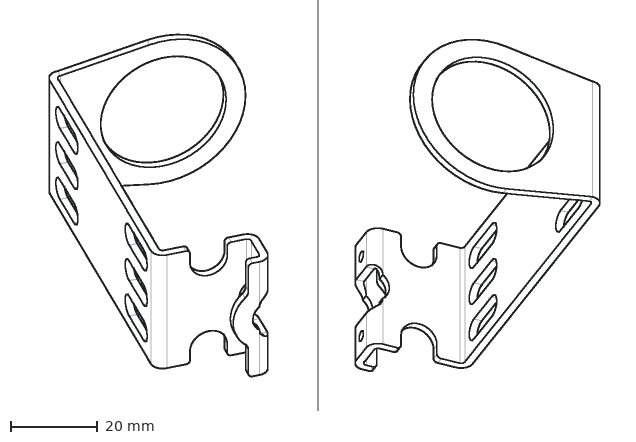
import math

import cadquery as cq

thickness = 2.0
inner_bend = 0.9
outer_bend = inner_bend + thickness
strip_height = 32.0
half_height = strip_height / 2

total_length = 86.7
hook_width = 11.5
hook_depth = 25.1
leg_x = total_length - hook_width
leg_inner_x = leg_x + thickness
lip_x = total_length - thickness
hook_mid_x = leg_x + hook_width / 2

ring_y = 28.0
ring_radius = 20.0
ring_bore_diameter = 30.5

slot_length = 15.5
slot_width = 5.5
slot_columns_x = (15.0, 64.0)
slot_pitch_z = 10.0
slot_rows = 3

screw_hole_diameter = 2.5
screw_countersink = 0.25
screw_hole_z = 11.0
window_half_height = 6.4
corner_sections = 7
lobe_y = 24.65
lobe_radius = 4.05
tongue_radius = 8.85
tongue_fillet = 2.4
lip_edge_y = 19.5
edge_round = 1.0
notch_y = 13.1
notch_z = 12.4
notch_radius = 4.5

bend_y = hook_depth - outer_bend
left_bend_x = leg_x + outer_bend
right_bend_x = total_length - outer_bend

lobe_mouth = math.sqrt(lobe_radius**2 - (lobe_y - bend_y) ** 2)
window_corner = window_half_height - lobe_mouth


def extrude_z(outline, height):
    return outline.extrude(height / 2, both=True)


def yz_plane(x):
    """Sketch plane with local axes Y and Z, extruding towards +X."""
    return cq.Workplane("YZ", origin=(x, 0, 0))


def make_base():
    """Base plate with the two bends that lead into the ring arm and the hook leg."""
    outside = cq.Workplane("XY").rect(leg_inner_x, hook_depth / 2, centered=False)
    outside = extrude_z(outside, strip_height).edges("|Z and <Y").fillet(outer_bend)
    inside = (
        cq.Workplane("XY", origin=(thickness, thickness, 0))
        .rect(leg_x - thickness, hook_depth, centered=False)
    )
    inside = extrude_z(inside, strip_height).edges("|Z and <Y").fillet(inner_bend)
    arm_space = (
        cq.Workplane("XY", origin=(0, outer_bend, 0))
        .box(thickness, hook_depth, strip_height, centered=(False, False, True))
    )
    return outside.cut(inside).cut(arm_space)


def make_ring_arm():
    """Flat arm whose edges run tangent from the strip into the round end."""
    run = ring_y - outer_bend
    corner_angle = math.atan2(half_height, -run)
    tangent_angle = corner_angle - math.acos(ring_radius / math.hypot(run, half_height))
    tangent_y = ring_y + ring_radius * math.cos(tangent_angle)
    tangent_z = ring_radius * math.sin(tangent_angle)
    arm = (
        yz_plane(0)
        .moveTo(outer_bend, -half_height)
        .lineTo(tangent_y, -tangent_z)
        .threePointArc((ring_y + ring_radius, 0), (tangent_y, tangent_z))
        .lineTo(outer_bend, half_height)
        .close()
        .extrude(thickness)
    )
    bore = yz_plane(0).center(ring_y, 0).circle(ring_bore_diameter / 2).extrude(thickness)
    return arm.cut(bore)


def make_hook():
    """U-shaped hook: leg, web and a full-height lip as long as its tongue."""
    lip_tip_y = lobe_y - tongue_radius
    leg_start_y = hook_depth / 2
    outside = (
        cq.Workplane("XY", origin=(leg_x, leg_start_y, 0))
        .rect(hook_width, hook_depth - leg_start_y, centered=False)
    )
    outside = extrude_z(outside, strip_height).edges("|Z and >Y").fillet(outer_bend)
    inside = (
        cq.Workplane("XY", origin=(leg_inner_x, 0, 0))
        .rect(lip_x - leg_inner_x, hook_depth - thickness, centered=False)
    )
    inside = extrude_z(inside, strip_height).edges("|Z and >Y").fillet(inner_bend)
    below_lip = (
        cq.Workplane("XY", origin=(lip_x, 0, 0))
        .box(thickness, lip_tip_y, strip_height, centered=(False, False, True))
    )
    return outside.cut(inside).cut(below_lip)


def slot_cutter():
    """Two columns of slots through the base plate."""
    rows = [(row - (slot_rows - 1) / 2) * slot_pitch_z for row in range(slot_rows)]
    points = [(x, z) for x in slot_columns_x for z in rows]
    return cq.Workplane("XZ").pushPoints(points).slot2D(slot_length, slot_width).extrude(-thickness)


def screw_hole_cutter():
    """Two holes through the web, chamfered on the face inside the hook."""
    radius = screw_hole_diameter / 2
    profile = (
        cq.Workplane("XY")
        .moveTo(0, 0)
        .lineTo(radius + screw_countersink, 0)
        .lineTo(radius, screw_countersink)
        .lineTo(radius, thickness)
        .lineTo(0, thickness)
        .close()
    )
    hole = profile.revolve(360, (0, 0, 0), (0, 1, 0)).translate((hook_mid_x, hook_depth - thickness, 0))
    upper = hole.translate((0, 0, screw_hole_z))
    return upper.union(upper.mirror("XY"))


def bend_window_cutter():
    """Window inside the left bend: it narrows along a rounded corner as the strip turns."""
    margin = inner_bend / 2
    wires = []
    for section in range(corner_sections):
        corner = math.radians(90 * section / (corner_sections - 1))
        turn = math.pi / 2 * math.sin(corner)
        half = window_half_height - window_corner * (1 - math.cos(corner))
        radial = cq.Vector(-math.sin(turn), math.cos(turn), 0)
        axis = cq.Vector(left_bend_x, bend_y, 0)
        near = axis + radial * (inner_bend - margin)
        far = axis + radial * (outer_bend + margin)
        up = cq.Vector(0, 0, half)
        wires.append(cq.Wire.makePolygon([near - up, far - up, far + up, near + up], close=True))
    return cq.Workplane(obj=cq.Solid.makeLoft(wires))


def web_window_cutter():
    """Rectangular part of the window, through the flat of the web."""
    window = cq.Workplane("XY").box(
        right_bend_x - left_bend_x, thickness, 2 * window_half_height, centered=(True, False, True)
    )
    return window.translate((hook_mid_x, hook_depth - thickness, 0))


def lobe_cutter():
    """Round ends of the window in the flats of the leg and the lip, up to where the bends start."""
    below_bend = (
        cq.Workplane("XY", origin=(leg_x, 0, 0))
        .box(hook_width, bend_y, strip_height, centered=(False, False, True))
    )
    lobe = yz_plane(leg_x).center(lobe_y, 0).circle(lobe_radius).extrude(hook_width)
    return lobe.intersect(below_bend)


def lip_corner_cutter():
    """Material removed above the tongue of the lip, with a rounded corner at the strip edge."""
    fillet_y = lip_edge_y - tongue_fillet
    center_distance = tongue_radius + tongue_fillet
    fillet_z = math.sqrt(center_distance**2 - (lobe_y - fillet_y) ** 2)
    share = tongue_radius / center_distance
    tangent = (lobe_y + (fillet_y - lobe_y) * share, fillet_z * share)
    fillet_mid_angle = math.atan2(tangent[1] - fillet_z, tangent[0] - fillet_y) / 2
    fillet_mid = (
        fillet_y + tongue_fillet * math.cos(fillet_mid_angle),
        fillet_z + tongue_fillet * math.sin(fillet_mid_angle),
    )
    tip_y = lobe_y - tongue_radius
    tongue_mid_angle = math.asin(tangent[1] / tongue_radius) / 2
    tongue_mid = (
        lobe_y - tongue_radius * math.cos(tongue_mid_angle),
        tongue_radius * math.sin(tongue_mid_angle),
    )
    outline = (
        yz_plane(lip_x)
        .moveTo(tip_y, 0)
        .threePointArc(tongue_mid, tangent)
        .threePointArc(fillet_mid, (lip_edge_y, fillet_z))
        .lineTo(lip_edge_y, half_height - edge_round)
        .radiusArc((lip_edge_y + edge_round, half_height), edge_round)
        .lineTo(tip_y, half_height)
        .close()
    )
    return outline.extrude(thickness)


def leg_notch_cutter():
    """U-shaped notch in the edge of the hook leg, with rounded corners at the strip edge."""
    left = notch_y - notch_radius
    right = notch_y + notch_radius
    outline = (
        yz_plane(leg_x)
        .moveTo(left - edge_round, half_height)
        .radiusArc((left, half_height - edge_round), edge_round)
        .lineTo(left, notch_z)
        .threePointArc((notch_y, notch_z - notch_radius), (right, notch_z))
        .lineTo(right, half_height - edge_round)
        .radiusArc((right + edge_round, half_height), edge_round)
        .close()
    )
    return outline.extrude(thickness)


body = make_base().union(make_ring_arm()).union(make_hook())
body = body.cut(slot_cutter()).cut(screw_hole_cutter())
left_bend_window = bend_window_cutter()
right_bend_window = left_bend_window.mirror("YZ", (hook_mid_x, 0, 0))
for cutter in (web_window_cutter(), left_bend_window, right_bend_window, lobe_cutter()):
    body = body.cut(cutter)
for cutter in (lip_corner_cutter(), leg_notch_cutter()):
    body = body.cut(cutter).cut(cutter.mirror("XY"))

result = cq.Workplane(obj=body.solids().val())